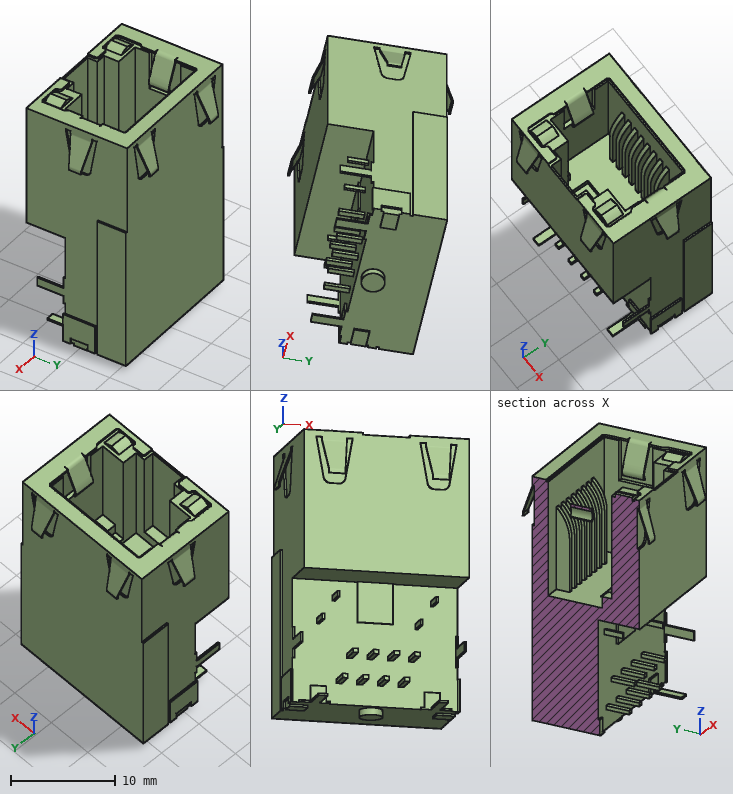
import cadquery as cq
import math


sheet = 0.2
width = 16.36
depth = 11.65
height = 25.84
half_width = width / 2
front_y = -depth / 2
rear_y = depth / 2
step_z = 12.18
step_y = -1.35
pad_y = step_y - sheet
housing_z = height - sheet


def box(x0, x1, y0, y1, z0, z1):
    """Axis-aligned block between the given limits."""
    return cq.Workplane("XY").box(x1 - x0, y1 - y0, z1 - z0, centered=False).translate((x0, y0, z0))


def mirrored_x(shape):
    """The shape together with its mirror image across X = 0."""
    return shape.union(shape.mirror("YZ"))


def make_body():
    upper = box(-half_width, half_width, front_y, rear_y, step_z, height)
    lower = box(-half_width, half_width, step_y, rear_y, 0, step_z)
    return upper.union(lower)


cavity_half = 6.0
cavity_rear_y = 4.08
cavity_front_y = -2.8
cavity_floor_z = 13.6
key_half = 3.18
key_rear_y = -0.44
key_front_y = -4.5
key_floor_z = 13.0
latch_half = 2.03
latch_front_y = front_y + sheet
latch_floor_z = 14.2
ledge_width = 1.73
ledge_depth = 1.04
ledge_height = 1.2

mouth_half = 6.2
mouth_rear_y = 4.28
mouth_wide_half = 6.49
mouth_front_y = -5.25
mouth_jog_y = (-2.19, -2.49)
mouth_tab_y = -4.69
mouth_tab_half = 3.93
mouth_latch_half = 2.33
mouth_fillet = 0.25


def cut_cavity(body):
    cavity = box(-cavity_half, cavity_half, cavity_front_y, cavity_rear_y, cavity_floor_z, height)
    ledge = box(cavity_half - ledge_width, cavity_half, cavity_front_y, cavity_front_y + ledge_depth,
                cavity_floor_z, cavity_floor_z + ledge_height)
    cavity = cavity.cut(mirrored_x(ledge))
    key = box(-key_half, key_half, key_front_y, key_rear_y, key_floor_z, height)
    latch = box(-latch_half, latch_half, latch_front_y, key_front_y, latch_floor_z, height)
    return body.cut(cavity).cut(key).cut(latch)


def cut_mouth(body):
    right_side = [
        (mouth_half, mouth_rear_y),
        (mouth_half, mouth_jog_y[0]),
        (mouth_wide_half, mouth_jog_y[1]),
        (mouth_wide_half, mouth_front_y),
        (mouth_tab_half, mouth_front_y),
        (mouth_tab_half, mouth_tab_y),
        (mouth_latch_half, mouth_tab_y),
        (mouth_latch_half, front_y),
    ]
    left_side = [(-x, y) for x, y in reversed(right_side)]
    outline = cq.Workplane("XY").workplane(offset=housing_z).polyline(right_side + left_side).close()
    corners = cq.selectors.BoxSelector((-half_width, front_y + sheet, 0), (half_width, rear_y, height))
    opening = outline.extrude(sheet).edges("|Z").edges(corners).fillet(mouth_fillet)
    return body.cut(opening)


light_x = 5.18
light_half = 1.01
light_y = (-5.07, -3.16)
light_rise = 0.42
light_shoulder = (0.54, 0.25)


def add_lights(body):
    dome = (
        cq.Workplane("XZ", origin=(0, light_y[1], 0))
        .moveTo(-light_half, housing_z)
        .threePointArc((-light_shoulder[0], housing_z + light_shoulder[1]), (0, housing_z + light_rise))
        .threePointArc((light_shoulder[0], housing_z + light_shoulder[1]), (light_half, housing_z))
        .close()
        .extrude(light_y[1] - light_y[0])
    )
    for x in (-light_x, light_x):
        body = body.union(dome.translate((x, 0, 0)))
    return body


contact_count = 8
contact_pitch = 1.02
contact_width = 0.47
contact_tip_y = 2.63
contact_root_z = 22.3
contact_bend = (3.2, 21.23)
contact_straight_z = 19.2


def contact_x(index):
    return (index - (contact_count - 1) / 2) * contact_pitch


def add_contacts(body):
    finger = (
        cq.Workplane("YZ", origin=(-contact_width / 2, 0, 0))
        .moveTo(cavity_rear_y, contact_root_z)
        .threePointArc(contact_bend, (contact_tip_y, contact_straight_z))
        .lineTo(contact_tip_y, cavity_floor_z)
        .lineTo(cavity_rear_y, cavity_floor_z)
        .close()
        .extrude(contact_width)
    )
    for index in range(contact_count):
        body = body.union(finger.translate((contact_x(index), 0, 0)))
    return body


panel_spring_x = 5.145
side_spring_y = 0.51
window_top_z = 25.2
window_low_z = 20.69
window_top_half = 1.8
window_low_half = 0.99
window_fillet = 0.7
tongue_sheet = 0.15
tongue_hinge_z = 24.92
tongue_slope_top_z = 24.79
tongue_slope_low_z = 21.9
tongue_bend_z = 21.74
tongue_tip_z = 21.45
tongue_root_half = 1.23
front_tip_half = 0.8
other_tip_half = 0.69
tongue_reach = 1.065


def spring_window():
    """Recess round a spring, on a face at Y = 0 that looks toward -Y."""
    return (
        cq.Workplane("XZ")
        .polyline([
            (-window_top_half, window_top_z),
            (-window_low_half, window_low_z),
            (window_low_half, window_low_z),
            (window_top_half, window_top_z),
        ])
        .close()
        .extrude(-sheet)
        .edges("|Y").edges("<Z")
        .fillet(window_fillet)
    )


def spring_tongue(tip_half):
    """Tapered tongue leaning out of the window toward -Y, with an upright tip."""
    middle_of_upper_bend = (tongue_hinge_z + tongue_slope_top_z) / 2
    middle_of_lower_bend = (tongue_slope_low_z + tongue_bend_z) / 2
    slope = tongue_reach / (middle_of_upper_bend - middle_of_lower_bend)
    upper_out = slope * (middle_of_upper_bend - tongue_slope_top_z)
    lower_out = slope * (middle_of_upper_bend - tongue_slope_low_z)
    inner_offset = tongue_sheet * math.hypot(1, slope)
    inner_reach = tongue_reach - tongue_sheet
    inner_bend_z = middle_of_upper_bend - (inner_reach + inner_offset) / slope
    inner_bury_z = middle_of_upper_bend + (sheet - inner_offset) / slope
    profile = (
        cq.Workplane("YZ", origin=(-window_top_half, 0, 0))
        .moveTo(sheet, window_top_z)
        .lineTo(0, window_top_z)
        .lineTo(0, tongue_hinge_z)
        .tangentArcPoint((-upper_out, tongue_slope_top_z), relative=False)
        .lineTo(-lower_out, tongue_slope_low_z)
        .tangentArcPoint((-tongue_reach, tongue_bend_z), relative=False)
        .lineTo(-tongue_reach, tongue_tip_z)
        .lineTo(-inner_reach, tongue_tip_z)
        .lineTo(-inner_reach, inner_bend_z)
        .lineTo(sheet, inner_bury_z)
        .close()
        .extrude(2 * window_top_half)
    )
    taper = (
        cq.Workplane("XZ", origin=(0, sheet, 0))
        .polyline([
            (-tongue_root_half, window_top_z),
            (-tongue_root_half, tongue_hinge_z),
            (-tip_half, tongue_bend_z),
            (-tip_half, tongue_tip_z),
            (tip_half, tongue_tip_z),
            (tip_half, tongue_bend_z),
            (tongue_root_half, tongue_hinge_z),
            (tongue_root_half, window_top_z),
        ])
        .close()
        .extrude(tongue_reach + sheet)
    )
    return profile.intersect(taper)


def add_panel_springs(body):
    places = []
    for x in (-panel_spring_x, panel_spring_x):
        places.append((front_tip_half, 0, (x, front_y, 0)))
        places.append((other_tip_half, 180, (x, rear_y, 0)))
    places.append((other_tip_half, -90, (-half_width, side_spring_y, 0)))
    places.append((other_tip_half, 90, (half_width, side_spring_y, 0)))
    for tip_half, turn, position in places:
        window = spring_window().rotate((0, 0, 0), (0, 0, 1), turn).translate(position)
        tongue = spring_tongue(tip_half).rotate((0, 0, 0), (0, 0, 1), turn).translate(position)
        body = body.cut(window).union(tongue)
    return body


inner_spring_half = 1.145
recess_y = (-1.18, 2.49)
recess_x = 6.47
recess_floor_z = 21.4
inner_root_x = 6.67
crown = (6.47, 25.79)
inner_slope_top = (6.2, 25.55)
inner_slope_low = (5.35, 23.7)
inner_nose = (5.12, 23.05)
inner_tip = (5.3, 22.4)


def add_inner_springs(body):
    spring_y = (side_spring_y - inner_spring_half, side_spring_y + inner_spring_half)
    recess = box(cavity_half, recess_x, recess_y[0], recess_y[1], recess_floor_z, housing_z)
    gap = box(mouth_half, inner_root_x, spring_y[0], spring_y[1], housing_z, height)
    spring = (
        cq.Workplane("XZ", origin=(0, spring_y[1], 0))
        .moveTo(inner_root_x, height)
        .threePointArc(crown, inner_slope_top)
        .lineTo(*inner_slope_low)
        .tangentArcPoint(inner_nose, relative=False)
        .tangentArcPoint(inner_tip, relative=False)
        .lineTo(inner_tip[0] + sheet, inner_tip[1])
        .threePointArc((inner_nose[0] + sheet, inner_nose[1]),
                       (inner_slope_low[0] + sheet, inner_slope_low[1]))
        .lineTo(inner_slope_top[0] + sheet, inner_slope_top[1])
        .lineTo(inner_root_x, housing_z)
        .close()
        .extrude(spring_y[1] - spring_y[0])
    )
    return body.cut(mirrored_x(recess)).cut(mirrored_x(gap)).union(mirrored_x(spring))


rear_plate_y = 2.49
rear_plate_height = 15.88
low_plate_y = (-1.46, 2.22)
low_plate_height = 3.2
tab_window_y = (-0.61, 1.39)
tab_window_height = 0.66
tab_y = (-0.33, 1.18)
tab_length = 1.81


def add_side_plates(body):
    outer = half_width + sheet
    rear_plate = box(half_width, outer, rear_plate_y, rear_y, 0, rear_plate_height)
    low_plate = box(half_width, outer, low_plate_y[0], low_plate_y[1], 0, low_plate_height)
    low_plate = low_plate.cut(
        box(half_width, outer, tab_window_y[0], tab_window_y[1], 0, tab_window_height))
    tab = box(half_width - tab_length, half_width, tab_y[0], tab_y[1], -sheet, 0)
    for piece in (rear_plate, low_plate, tab):
        body = body.union(mirrored_x(piece))
    return body


centre_pad_half = 1.75
centre_pad_z = 8.2
ground_pin_y = -4.58
side_pad_z = (4.35, 7.37)
side_pin_z = (5.19, 6.14)
corner_pad_x = (4.86, 6.4)
corner_pad_height = 1.7
foot_x = (4.5, 7.54)
bottom_pin_x = (5.51, 6.4)
signal_pin_width = 0.51
signal_pin_height = 0.4
signal_pin_y = -3.83
signal_row_z = (2.28, 4.83)
light_pin_width = 0.23
light_pin_height = 0.53
light_pin_y = -3.36
light_pin_places = ((-4.1, 10.45), (5.63, 10.45), (-5.63, 8.13), (4.1, 8.13))


def add_shield_pins(body):
    inner = half_width - sheet
    pieces = [
        box(inner, half_width, pad_y, step_y, side_pad_z[0], side_pad_z[1]),
        box(inner, half_width, ground_pin_y, step_y, side_pin_z[0], side_pin_z[1]),
        box(corner_pad_x[0], corner_pad_x[1], pad_y, step_y, 0, corner_pad_height),
        box(foot_x[0], foot_x[1], pad_y, step_y, 0, sheet),
        box(bottom_pin_x[0], bottom_pin_x[1], ground_pin_y, step_y, 0, sheet),
    ]
    for piece in pieces:
        body = body.union(mirrored_x(piece))
    return body.union(box(-centre_pad_half, centre_pad_half, pad_y, step_y, centre_pad_z, step_z))


def add_pin(body, x, z, pin_width, pin_height, tip_y):
    """Straight rectangular pin centred on (x, z), reaching from the step face to tip_y."""
    return body.union(box(x - pin_width / 2, x + pin_width / 2, tip_y, step_y,
                          z - pin_height / 2, z + pin_height / 2))


def add_solder_pins(body):
    for index in range(contact_count):
        row_z = signal_row_z[index % 2]
        body = add_pin(body, contact_x(index), row_z, signal_pin_width, signal_pin_height, signal_pin_y)
    for x, z in light_pin_places:
        body = add_pin(body, x, z, light_pin_width, light_pin_height, light_pin_y)
    return body


peg_radius = 1.13
peg_length = 0.68
peg_y = 0.24


def add_peg(body):
    peg = cq.Workplane("XY").center(0, peg_y).circle(peg_radius).extrude(-peg_length)
    return body.union(peg)


result = make_body()
result = cut_cavity(result)
result = cut_mouth(result)
result = add_lights(result)
result = add_contacts(result)
result = add_panel_springs(result)
result = add_inner_springs(result)
result = add_side_plates(result)
result = add_shield_pins(result)
result = add_solder_pins(result)
result = add_peg(result)